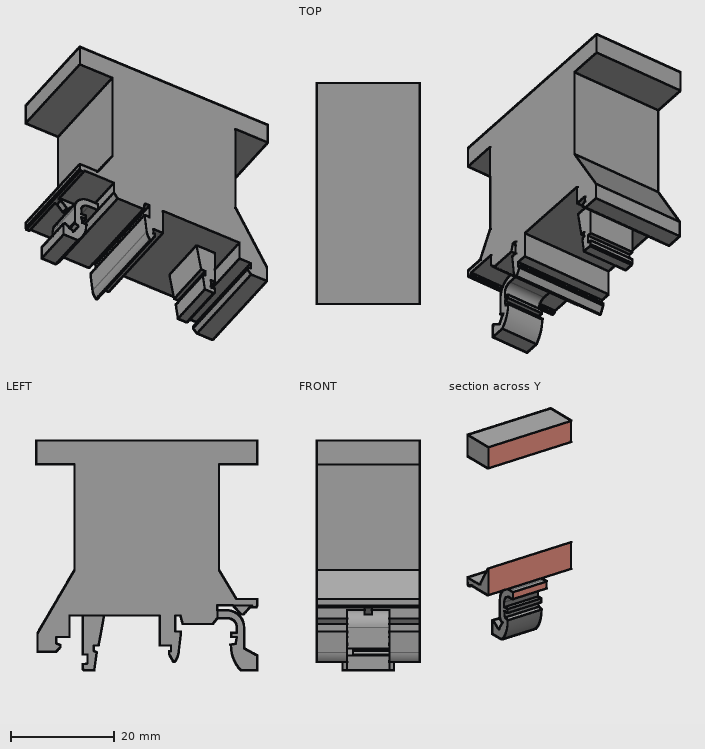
import cadquery as cq

WIDTH = 20.0
LENGTH = 42.8
HEIGHT = 44.5
FRONT = -LENGTH / 2

PLATE_THICKNESS = 4.65
HOUSING_HALF_LENGTH = 14.0
SHOULDER_Z = 19.4
UNDERSIDE_Z = 10.6
PLATE_Z = HEIGHT - PLATE_THICKNESS

FLANGE_TOP_Z = 13.85
FLANGE_BOTTOM_Z = 12.6
LIP_Z = 12.2
LIP_INNER_Y = -20.55
LIP_FRONT_Y = -21.23
LUG_REAR_Y = -16.6
FRONT_WALL_Y = -13.65
LUG_WIDTH = 1.42

REAR_FOOT_WIDTH = 9.95
REAR_FOOT_OVERLAP = 0.9

CLIP_WIDTH = 8.15
CLIP_TOP_Z = 11.65
CLIP_FRONT_Y = -18.85
CLIP_INNER_Y = -17.4
CLIP_OUTER_RADIUS = 3.4
CLIP_INNER_RADIUS = 1.7
CLIP_ROOT_Z = 10.05
CLIP_OVERLAP = 0.45
TOE_TOP_Z = 2.9
TOE_SLOPE_TOP_Z = 4.25
GROOVE_END_WALL = 1.1
GROOVE_TOP_Z = 4.2
GROOVE_RIM_Y = -21.1


def profile_start(y, z):
    """Start a side profile in the YZ plane."""
    return cq.Workplane("YZ").moveTo(y, z)


def extrude_centred(profile, width):
    """Close a side profile and extrude it symmetrically about X = 0."""
    return profile.close().extrude(width / 2, both=True)


def make_housing():
    """Full-width housing with the plate, rear hook, front leg and flange."""
    profile = (
        profile_start(-FRONT, HEIGHT)
        .lineTo(-FRONT, PLATE_Z)
        .lineTo(HOUSING_HALF_LENGTH, PLATE_Z)
        .lineTo(HOUSING_HALF_LENGTH, SHOULDER_Z)
        .lineTo(21.2, 7.15)
        .lineTo(21.2, 3.55)
        .lineTo(17.58, 3.55)
        .lineTo(16.7, 4.5)
        .lineTo(16.7, 4.9)
        .lineTo(17.5, 5.25)
        .lineTo(17.5, 6.45)
        .lineTo(14.9, 6.45)
        .lineTo(14.9, UNDERSIDE_Z)
        .lineTo(-2.5, UNDERSIDE_Z)
        .lineTo(-2.5, 4.8)
        .lineTo(-4.67, 4.8)
        .lineTo(-4.67, 3.75)
        .lineTo(-4.25, 3.75)
        .lineTo(-4.25, 3.2)
        .lineTo(-5.15, 1.6)
        .lineTo(-5.4, 1.6)
        .threePointArc((-5.9, 2.45), (-6.2, 3.43))
        .lineTo(-6.68, 7.55)
        .lineTo(-5.5, 7.55)
        .lineTo(-5.5, UNDERSIDE_Z)
        .lineTo(-6.5, UNDERSIDE_Z)
        .lineTo(-6.95, 8.95)
        .lineTo(-12.75, 8.95)
        .lineTo(FRONT_WALL_Y, CLIP_ROOT_Z)
        .lineTo(FRONT_WALL_Y, FLANGE_BOTTOM_Z)
        .lineTo(-20.3, FLANGE_BOTTOM_Z)
        .lineTo(LIP_INNER_Y, LIP_Z)
        .lineTo(LIP_FRONT_Y, LIP_Z)
        .lineTo(FRONT, FLANGE_BOTTOM_Z)
        .lineTo(FRONT, FLANGE_TOP_Z)
        .lineTo(-17.35, FLANGE_TOP_Z)
        .lineTo(-HOUSING_HALF_LENGTH, SHOULDER_Z)
        .lineTo(-HOUSING_HALF_LENGTH, PLATE_Z)
        .lineTo(FRONT, PLATE_Z)
        .lineTo(FRONT, HEIGHT)
    )
    return extrude_centred(profile, WIDTH)


def make_rear_foot():
    """Narrow foot with a notch on each side, rooted inside the housing."""
    profile = (
        profile_start(12.4, UNDERSIDE_Z + REAR_FOOT_OVERLAP)
        .lineTo(12.4, 3.05)
        .lineTo(11.5, 3.05)
        .lineTo(11.5, 1.42)
        .lineTo(11.8, 1.25)
        .lineTo(12.4, 1.25)
        .lineTo(12.4, 0.25)
        .lineTo(12.15, 0)
        .lineTo(10.15, 0)
        .lineTo(9.65, 3.45)
        .lineTo(10.25, 3.8)
        .lineTo(10.25, 4.8)
        .lineTo(9.3, 4.8)
        .lineTo(8.25, UNDERSIDE_Z)
        .lineTo(8.25, UNDERSIDE_Z + REAR_FOOT_OVERLAP)
    )
    return extrude_centred(profile, REAR_FOOT_WIDTH)


def make_lug():
    """Small wedge under the flange that limits the clip's travel."""
    profile = (
        profile_start(LUG_REAR_Y, FLANGE_BOTTOM_Z)
        .lineTo(-18.35, 10.75)
        .lineTo(-18.65, 10.75)
        .lineTo(-20.0, LIP_Z)
        .lineTo(LIP_INNER_Y, LIP_Z)
        .lineTo(LIP_INNER_Y, FLANGE_TOP_Z)
        .lineTo(LUG_REAR_Y, FLANGE_TOP_Z)
    )
    return extrude_centred(profile, LUG_WIDTH)


def make_clip():
    """Curved spring arm ending in a sloped toe."""
    root_y = FRONT_WALL_Y + CLIP_OVERLAP
    profile = (
        profile_start(root_y, CLIP_TOP_Z)
        .lineTo(CLIP_FRONT_Y + CLIP_OUTER_RADIUS, CLIP_TOP_Z)
        .radiusArc((CLIP_FRONT_Y, CLIP_TOP_Z - CLIP_OUTER_RADIUS), -CLIP_OUTER_RADIUS)
        .lineTo(CLIP_FRONT_Y, TOE_SLOPE_TOP_Z)
        .lineTo(FRONT, TOE_TOP_Z)
        .lineTo(FRONT, 0)
        .lineTo(-18.2, 0)
        .threePointArc((-16.78, 2.2), (-16.3, 4.9))
        .lineTo(-16.15, 5.0)
        .lineTo(-17.18, 5.15)
        .lineTo(CLIP_INNER_Y, 6.45)
        .lineTo(-16.35, 6.45)
        .lineTo(-16.35, 7.3)
        .lineTo(CLIP_INNER_Y, 7.3)
        .lineTo(CLIP_INNER_Y, CLIP_ROOT_Z - CLIP_INNER_RADIUS)
        .radiusArc((CLIP_INNER_Y + CLIP_INNER_RADIUS, CLIP_ROOT_Z), CLIP_INNER_RADIUS)
        .lineTo(root_y, CLIP_ROOT_Z)
    )
    return extrude_centred(profile, CLIP_WIDTH)


def make_toe_groove():
    """V-shaped groove in the toe slope, open at the +X side."""
    groove_start_x = -CLIP_WIDTH / 2 + GROOVE_END_WALL
    return (
        cq.Workplane("YZ", origin=(groove_start_x, 0, 0))
        .moveTo(CLIP_FRONT_Y, GROOVE_TOP_Z)
        .lineTo(-18.02, 3.75)
        .lineTo(-19.2, 1.82)
        .lineTo(GROOVE_RIM_Y, 3.03)
        .lineTo(GROOVE_RIM_Y, GROOVE_TOP_Z)
        .close()
        .extrude(CLIP_WIDTH)
    )


clip = make_clip().cut(make_toe_groove())
result = make_housing().union(make_rear_foot()).union(make_lug()).union(clip)